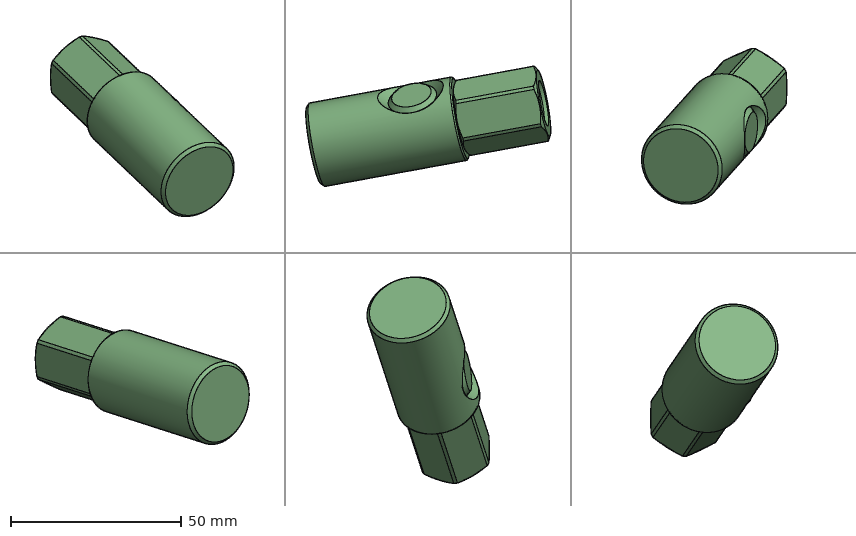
import cadquery as cq
import math

total_length = 69.0
hex_length = 25.0

body_radius = 12.5
body_front_chamfer = 0.5
body_rear_chamfer = 1.0

hex_across_flats = 20.0
hex_corner_radius = 11.25
hex_end_radius = 9.9
hex_bevel_angle = 30.0

bore_radius = 5.7
bore_mouth_radius = 6.75
bore_depth = hex_length

plug_x = 37.25
plug_top_radius = 5.9
plug_top_y = 11.25
recess_radius = 9.9

groove_floor_y = (plug_top_radius + plug_top_y + body_radius - recess_radius) / 2
groove_floor_radius = plug_top_radius + plug_top_y - groove_floor_y


def make_body():
    """Cylinder along X, chamfered at both ends."""
    body_length = total_length - hex_length
    body = cq.Workplane("YZ", origin=(hex_length, 0, 0)).circle(body_radius).extrude(body_length)
    body = body.faces("<X").chamfer(body_front_chamfer)
    return body.faces(">X").chamfer(body_rear_chamfer)


def make_hex():
    """Hexagonal prism with two flats facing Y, trimmed by a bevelled round blank."""
    across_corners = hex_across_flats / math.cos(math.radians(30))
    prism = (
        cq.Workplane("YZ")
        .polygon(6, across_corners)
        .extrude(hex_length)
        .rotate((0, 0, 0), (1, 0, 0), 30)
    )
    bevel_length = (hex_corner_radius - hex_end_radius) * math.tan(math.radians(hex_bevel_angle))
    blank = (
        cq.Workplane("XY")
        .polyline([
            (0, 0),
            (0, hex_end_radius),
            (bevel_length, hex_corner_radius),
            (hex_length - bevel_length, hex_corner_radius),
            (hex_length, hex_end_radius),
            (hex_length, 0),
        ])
        .close()
        .revolve(360, (0, 0, 0), (1, 0, 0))
    )
    return prism.intersect(blank)


def make_bore():
    """Blind bore with a 45 degree countersunk mouth."""
    countersink_depth = bore_mouth_radius - bore_radius
    return (
        cq.Workplane("XY")
        .polyline([
            (0, 0),
            (0, bore_mouth_radius),
            (countersink_depth, bore_radius),
            (bore_depth, bore_radius),
            (bore_depth, 0),
        ])
        .close()
        .revolve(360, (0, 0, 0), (1, 0, 0))
    )


def make_recess():
    """Cone opening toward +Y, flat at the level of the groove floor."""
    return (
        cq.Workplane("XY")
        .polyline([
            (plug_x, groove_floor_y),
            (plug_x + groove_floor_radius, groove_floor_y),
            (plug_x + recess_radius, body_radius),
            (plug_x, body_radius),
        ])
        .close()
        .revolve(360, (plug_x, 0, 0), (plug_x, 1, 0))
    )


def make_plug():
    """Tapered plug with a flat top, embedded in the body below the groove floor."""
    return (
        cq.Workplane("XY")
        .polyline([
            (plug_x, 0),
            (plug_x + groove_floor_radius, 0),
            (plug_x + groove_floor_radius, groove_floor_y),
            (plug_x + plug_top_radius, plug_top_y),
            (plug_x, plug_top_y),
        ])
        .close()
        .revolve(360, (plug_x, 0, 0), (plug_x, 1, 0))
    )


result = make_body().union(make_hex()).cut(make_bore()).cut(make_recess()).union(make_plug())